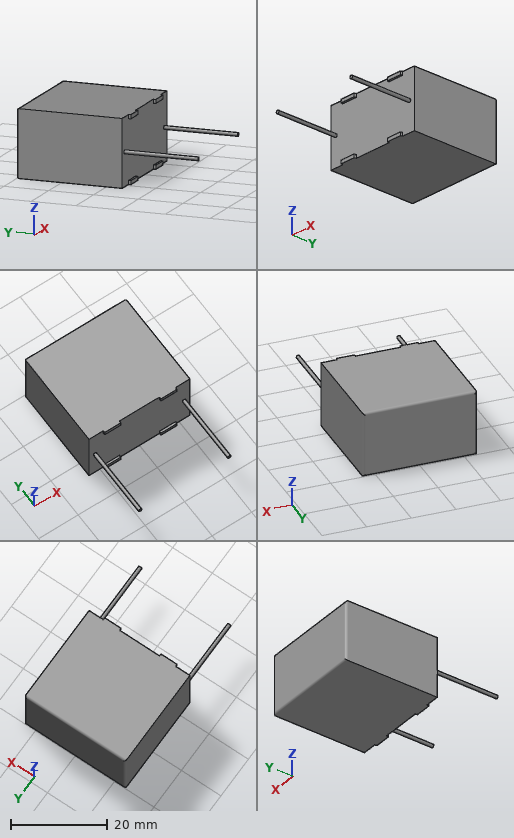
import cadquery as cq

HOUSING_WIDTH = 25.5
HOUSING_LENGTH = 23.5
HOUSING_HEIGHT = 15.0
EDGE_RADIUS = 0.55

FOOT_HEIGHT = 0.5
FOOT_THICKNESS = 0.9
FOOT_BASE_WIDTH = 4.2
FOOT_TIP_WIDTH = 4.0
FOOT_SPACING = 14.2

TOTAL_LENGTH = 40.0
LEAD_LENGTH = TOTAL_LENGTH - HOUSING_LENGTH
LEAD_DIAMETER = 0.85
LEAD_PITCH = 22.5

SIDES = (-1, 1)


def make_foot(center_x, bottom_z):
    """Trapezoidal pad, wide at the seating face and narrower at its tip."""
    return (
        cq.Workplane("XY", origin=(center_x, 0, bottom_z))
        .moveTo(-FOOT_BASE_WIDTH / 2, 0)
        .lineTo(-FOOT_TIP_WIDTH / 2, -FOOT_HEIGHT)
        .lineTo(FOOT_TIP_WIDTH / 2, -FOOT_HEIGHT)
        .lineTo(FOOT_BASE_WIDTH / 2, 0)
        .close()
        .extrude(FOOT_THICKNESS)
    )


def make_housing():
    """Box with a rounded closed end and four feet, seating face at Y = 0."""
    body = (
        cq.Workplane("XY")
        .box(HOUSING_WIDTH, HOUSING_LENGTH, HOUSING_HEIGHT, centered=(True, False, True))
        .faces(">Y")
        .edges()
        .fillet(EDGE_RADIUS)
    )
    foot_center_z = (HOUSING_HEIGHT - FOOT_THICKNESS) / 2
    for side_x in SIDES:
        for side_z in SIDES:
            bottom_z = side_z * foot_center_z - FOOT_THICKNESS / 2
            body = body.union(make_foot(side_x * FOOT_SPACING / 2, bottom_z))
    return body


def make_lead(center_x):
    """Straight round wire pointing along -Y from the seating face."""
    return (
        cq.Workplane("XZ", origin=(center_x, 0, 0))
        .circle(LEAD_DIAMETER / 2)
        .extrude(LEAD_LENGTH)
    )


housing = make_housing()
leads = [make_lead(side * LEAD_PITCH / 2) for side in SIDES]

result = cq.Compound.makeCompound([housing.val(), *[lead.val() for lead in leads]])